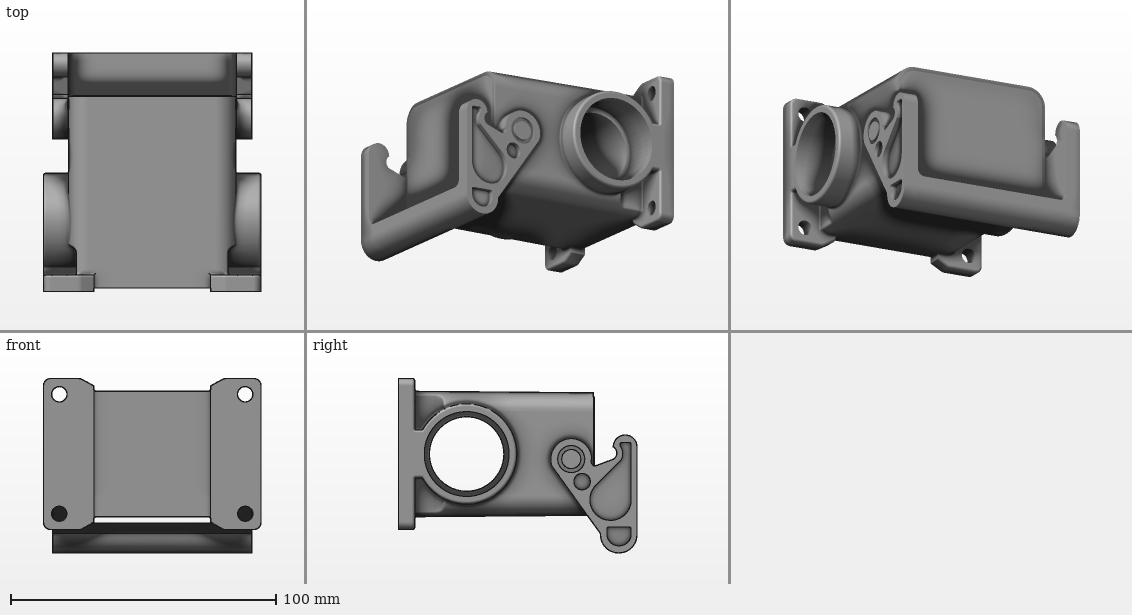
import cadquery as cq
import math

BODY_WIDTH = 63.0
BODY_START_Y = 1.3
BODY_END_Y = 73.4
BODY_HALF_HEIGHT_START = 23.7
BODY_HALF_HEIGHT_END = 23.1
BODY_CORNER_RADIUS = 7.2

RIM_DEPTH = 0.5
RIM_INSET = 1.6

FLANGE_OUTER_X = 41.0
FLANGE_INNER_X = 22.0
FLANGE_HEIGHT = 57.0
FLANGE_THICKNESS = 6.2
FLANGE_CORNER_RADIUS = 2.8
FLANGE_BEVEL_X = 5.1
FLANGE_BEVEL_Z = 2.8
FLANGE_BEVEL_RADIUS = 3.4
EDGE_RADIUS = 1.0
JOINT_RADIUS = 0.8
SCREW_HOLE_DIAMETER = 5.7
SCREW_HOLE_X = 35.0
SCREW_HOLE_Z = 22.5

CLEARANCE_HALF_WIDTH = 28.5
CLEARANCE_END_Y = 17.2
CLEARANCE_RADIUS = 3.1
CLEARANCE_RIM_RADIUS = 1.0

ENTRY_Y = 25.7
BOSS_RADIUS = 18.9
ENTRY_BORE_RADIUS = 16.0
ENTRY_BORE_DEPTH = 15.0
THROUGH_RADIUS = 14.0
WEB_HALF_HEIGHT = 9.0

LEVER_OUTER_X = 37.5
LEVER_INNER_X = 31.8
LEVER_BACK_Y = 89.9
PIVOT_Y = 65.1
PIVOT_Z = -1.9
PIVOT_RADIUS = 7.7
PIN_RADIUS = 3.6
PIN_GROOVE_RADIUS = 5.1
PIN_GROOVE_DEPTH = 1.0
HOOK_RADIUS = 4.5
HOOK_Z = 2.7
HANDLE_RADIUS = 6.9
HANDLE_Z = -30.4
CROSSBAR_TOP_Z = -26.0
CROSSBAR_FILLET = 2.9

THROAT_MIDDLE = (82.2, 0.1)
THROAT_END = (81.0, -1.9)
NOTCH_START = (74.3, -4.4)
NOTCH_MIDDLE = (72.9, -3.8)
ARM_END = (76.1, -30.0)

RECESS_DEPTH = 2.7
RECESS_BACK_Y = 87.7
DROP_RADIUS = 7.8
DROP_Z = -17.2
DROP_TOP_Z = 4.4
DROP_NECK_Y = 83.5
DROP_BEND_START = (83.5, 3.1)
DROP_BEND_MIDDLE = (84.5, 0.2)
DROP_BEND_END = (84.0, -2.1)
DROP_ARM_END = (74.5, -11.6)
DROP_CORNER_RADIUS = 0.8
GRIP_RADIUS = 4.6
GRIP_Z = -30.0
GRIP_TOP_Z = -27.5
DIMPLE_Y = 69.2
DIMPLE_Z = -10.4
DIMPLE_RADIUS = 3.1

TOLERANCE = 0.05


def plane_at(x):
    """Plane at the given X whose local axes are Y and Z and whose normal is +X."""
    return cq.Workplane("YZ", origin=(x, 0, 0))


def side_block(x_from, x_to, y_from, y_to, half_height):
    """Box on the +X side, centred in Z."""
    block = cq.Workplane("XY").box(
        x_to - x_from, y_to - y_from, 2 * half_height, centered=(False, False, True)
    )
    return block.translate((x_from, y_from, 0))


def make_body():
    profile = [
        (BODY_START_Y, -BODY_HALF_HEIGHT_START),
        (BODY_END_Y, -BODY_HALF_HEIGHT_END),
        (BODY_END_Y, BODY_HALF_HEIGHT_END),
        (BODY_START_Y, BODY_HALF_HEIGHT_START),
    ]
    block = plane_at(0).polyline(profile).close().extrude(BODY_WIDTH / 2, both=True)
    body = block.edges(">X or <X").edges("not |Z").fillet(BODY_CORNER_RADIUS)
    rim = (
        cq.Workplane("XZ", origin=(0, BODY_END_Y, 0))
        .rect(BODY_WIDTH - 2 * RIM_INSET, 2 * (BODY_HALF_HEIGHT_END - RIM_INSET))
        .extrude(-RIM_DEPTH)
        .edges("|Y")
        .fillet(BODY_CORNER_RADIUS - RIM_INSET)
    )
    return body.union(rim)


def make_clearance():
    block = side_block(
        CLEARANCE_HALF_WIDTH, FLANGE_OUTER_X, 0, CLEARANCE_END_Y, FLANGE_HEIGHT / 2
    )
    return block.edges("|Z and <X and >Y").fillet(CLEARANCE_RADIUS)


def make_flange():
    top = FLANGE_HEIGHT / 2
    outline = [
        (FLANGE_INNER_X, -top + FLANGE_BEVEL_Z),
        (FLANGE_INNER_X + FLANGE_BEVEL_X, -top),
        (FLANGE_OUTER_X, -top),
        (FLANGE_OUTER_X, top),
        (FLANGE_INNER_X + FLANGE_BEVEL_X, top),
        (FLANGE_INNER_X, top - FLANGE_BEVEL_Z),
    ]
    flange = cq.Workplane("XZ").polyline(outline).close().extrude(-FLANGE_THICKNESS)
    flange = flange.edges("|Y and >X").fillet(FLANGE_CORNER_RADIUS)
    bevel_x = FLANGE_INNER_X + FLANGE_BEVEL_X
    bevel_corners = cq.selectors.BoxSelector(
        (bevel_x - TOLERANCE, 0, -top - TOLERANCE),
        (bevel_x + TOLERANCE, FLANGE_THICKNESS, top + TOLERANCE),
    )
    return flange.edges("|Y").edges(bevel_corners).fillet(FLANGE_BEVEL_RADIUS)


def make_entry():
    """Flange, cable boss and the web joining them, with rounded outer edges."""
    boss = plane_at(0).center(ENTRY_Y, 0).circle(BOSS_RADIUS).extrude(FLANGE_OUTER_X)
    web = side_block(FLANGE_INNER_X, FLANGE_OUTER_X, 0, ENTRY_Y, WEB_HALF_HEIGHT)
    entry = make_flange().union(boss).union(web)
    web_corners = cq.selectors.BoxSelector(
        (FLANGE_INNER_X, FLANGE_THICKNESS - EDGE_RADIUS, -BOSS_RADIUS / 2),
        (FLANGE_OUTER_X, ENTRY_Y - BOSS_RADIUS / 2, BOSS_RADIUS / 2),
    )
    entry = entry.edges("|X").edges(web_corners).fillet(EDGE_RADIUS / 2)
    rear_edges = cq.selectors.BoxSelector(
        (FLANGE_INNER_X + EDGE_RADIUS, FLANGE_THICKNESS - EDGE_RADIUS, -FLANGE_HEIGHT),
        (FLANGE_OUTER_X + EDGE_RADIUS, BODY_END_Y, FLANGE_HEIGHT),
        boundingbox=True,
    )
    return entry.edges(rear_edges).edges("not |X").fillet(EDGE_RADIUS)


def round_clearance(body):
    """Round the outer rim of the screwdriver clearance."""
    clearance_rim = cq.selectors.BoxSelector(
        (CLEARANCE_HALF_WIDTH - TOLERANCE, BODY_START_Y + TOLERANCE, -FLANGE_HEIGHT),
        (BODY_WIDTH / 2 + TOLERANCE, CLEARANCE_END_Y + TOLERANCE, FLANGE_HEIGHT),
    )
    return body.edges(clearance_rim).edges("not |Z").fillet(CLEARANCE_RIM_RADIUS)


def round_joint(housing):
    """Fillet where the flange, web and boss meet the body."""
    inner_side = cq.selectors.BoxSelector(
        (FLANGE_INNER_X - TOLERANCE, BODY_START_Y + TOLERANCE, -BODY_HALF_HEIGHT_START),
        (FLANGE_INNER_X + TOLERANCE, FLANGE_THICKNESS - TOLERANCE, BODY_HALF_HEIGHT_START),
    )
    flange_back = cq.selectors.BoxSelector(
        (FLANGE_INNER_X - TOLERANCE, FLANGE_THICKNESS - TOLERANCE, -BODY_HALF_HEIGHT_START),
        (
            CLEARANCE_HALF_WIDTH + CLEARANCE_RIM_RADIUS,
            FLANGE_THICKNESS + TOLERANCE,
            BODY_HALF_HEIGHT_START,
        ),
        boundingbox=True,
    )
    boss_foot = cq.selectors.BoxSelector(
        (CLEARANCE_HALF_WIDTH - TOLERANCE, FLANGE_THICKNESS + TOLERANCE, -BOSS_RADIUS - TOLERANCE),
        (BODY_WIDTH / 2 + TOLERANCE, ENTRY_Y + BOSS_RADIUS + TOLERANCE, BOSS_RADIUS + TOLERANCE),
        boundingbox=True,
    )
    return housing.edges(inner_side + flange_back + boss_foot).fillet(JOINT_RADIUS)


def cut_bores(housing):
    through = plane_at(0).center(ENTRY_Y, 0).circle(THROUGH_RADIUS).extrude(FLANGE_OUTER_X)
    bore = (
        plane_at(FLANGE_OUTER_X)
        .center(ENTRY_Y, 0)
        .circle(ENTRY_BORE_RADIUS)
        .extrude(-ENTRY_BORE_DEPTH)
    )
    screw_holes = (
        cq.Workplane("XZ")
        .pushPoints([(SCREW_HOLE_X, SCREW_HOLE_Z), (SCREW_HOLE_X, -SCREW_HOLE_Z)])
        .circle(SCREW_HOLE_DIAMETER / 2)
        .extrude(-FLANGE_THICKNESS)
    )
    return housing.cut(through).cut(bore).cut(screw_holes)


def lever_profile(x):
    hook_y = LEVER_BACK_Y - HOOK_RADIUS
    handle_y = LEVER_BACK_Y - HANDLE_RADIUS
    arm_slope = math.atan2(PIVOT_Z - ARM_END[1], ARM_END[0] - PIVOT_Y)
    pivot_tangent = (
        PIVOT_Y - PIVOT_RADIUS * math.sin(arm_slope),
        PIVOT_Z - PIVOT_RADIUS * math.cos(arm_slope),
    )
    return (
        plane_at(x)
        .moveTo(LEVER_BACK_Y, HANDLE_Z)
        .lineTo(LEVER_BACK_Y, HOOK_Z)
        .threePointArc((hook_y, HOOK_Z + HOOK_RADIUS), (hook_y - HOOK_RADIUS, HOOK_Z))
        .threePointArc(THROAT_MIDDLE, THROAT_END)
        .lineTo(*NOTCH_START)
        .threePointArc(NOTCH_MIDDLE, (PIVOT_Y + PIVOT_RADIUS, PIVOT_Z))
        .threePointArc((PIVOT_Y, PIVOT_Z + PIVOT_RADIUS), pivot_tangent)
        .lineTo(*ARM_END)
        .threePointArc((handle_y, HANDLE_Z - HANDLE_RADIUS), (LEVER_BACK_Y, HANDLE_Z))
        .close()
    )


def recess_plane():
    return plane_at(LEVER_OUTER_X - RECESS_DEPTH)


def make_drop_recess():
    drop_y = RECESS_BACK_Y - DROP_RADIUS
    recess = (
        recess_plane()
        .moveTo(RECESS_BACK_Y, DROP_Z)
        .lineTo(RECESS_BACK_Y, DROP_TOP_Z)
        .lineTo(DROP_NECK_Y, DROP_TOP_Z)
        .lineTo(*DROP_BEND_START)
        .threePointArc(DROP_BEND_MIDDLE, DROP_BEND_END)
        .lineTo(*DROP_ARM_END)
        .threePointArc((drop_y, DROP_Z - DROP_RADIUS), (RECESS_BACK_Y, DROP_Z))
        .close()
        .extrude(RECESS_DEPTH)
    )
    top_edges = cq.selectors.BoxSelector(
        (0, DROP_NECK_Y - TOLERANCE, DROP_TOP_Z - TOLERANCE),
        (LEVER_OUTER_X, RECESS_BACK_Y + TOLERANCE, DROP_TOP_Z + TOLERANCE),
    )
    return recess.edges("|X").edges(top_edges).fillet(DROP_CORNER_RADIUS)


def make_grip_recess():
    grip_y = RECESS_BACK_Y - GRIP_RADIUS
    recess = (
        recess_plane()
        .moveTo(RECESS_BACK_Y, GRIP_Z)
        .lineTo(RECESS_BACK_Y, GRIP_TOP_Z)
        .lineTo(grip_y - GRIP_RADIUS, GRIP_TOP_Z)
        .lineTo(grip_y - GRIP_RADIUS, GRIP_Z)
        .threePointArc((grip_y, GRIP_Z - GRIP_RADIUS), (RECESS_BACK_Y, GRIP_Z))
        .close()
        .extrude(RECESS_DEPTH)
    )
    return recess.edges("|X and >Z").fillet(DROP_CORNER_RADIUS)


def make_lever_arm():
    """Recessed lever arm with its pivot pin, on the +X side."""
    arm = lever_profile(LEVER_INNER_X).extrude(LEVER_OUTER_X - LEVER_INNER_X)
    dimple = (
        recess_plane().center(DIMPLE_Y, DIMPLE_Z).circle(DIMPLE_RADIUS).extrude(RECESS_DEPTH)
    )
    pin_groove = (
        plane_at(LEVER_OUTER_X - PIN_GROOVE_DEPTH)
        .center(PIVOT_Y, PIVOT_Z)
        .circle(PIN_GROOVE_RADIUS)
        .circle(PIN_RADIUS)
        .extrude(PIN_GROOVE_DEPTH)
    )
    pin = plane_at(0).center(PIVOT_Y, PIVOT_Z).circle(PIN_RADIUS).extrude(LEVER_INNER_X)
    for recess in (make_drop_recess(), make_grip_recess(), dimple, pin_groove):
        arm = arm.cut(recess)
    return arm.union(pin)


def make_crossbar():
    """Bar joining the two lever arms, its top curving up into each arm."""
    straight_x = LEVER_INNER_X - CROSSBAR_FILLET
    raised_z = CROSSBAR_TOP_Z + CROSSBAR_FILLET
    bottom_z = HANDLE_Z - 2 * HANDLE_RADIUS
    section = (
        cq.Workplane("XZ")
        .moveTo(-LEVER_INNER_X, bottom_z)
        .lineTo(-LEVER_INNER_X, raised_z)
        .radiusArc((-straight_x, CROSSBAR_TOP_Z), -CROSSBAR_FILLET)
        .lineTo(straight_x, CROSSBAR_TOP_Z)
        .radiusArc((LEVER_INNER_X, raised_z), -CROSSBAR_FILLET)
        .lineTo(LEVER_INNER_X, bottom_z)
        .close()
        .extrude(-LEVER_BACK_Y)
    )
    return lever_profile(0).extrude(LEVER_INNER_X, both=True).intersect(section)


def make_half():
    """The +X half of the housing with its lever arm."""
    half_space = side_block(0, FLANGE_OUTER_X, 0, LEVER_BACK_Y, FLANGE_HEIGHT)
    body = round_clearance(make_body().intersect(half_space).cut(make_clearance()))
    housing = cut_bores(round_joint(body.union(make_entry())))
    return housing.union(make_lever_arm())


half = make_half()
result = half.union(half.mirror("YZ")).union(make_crossbar()).clean()